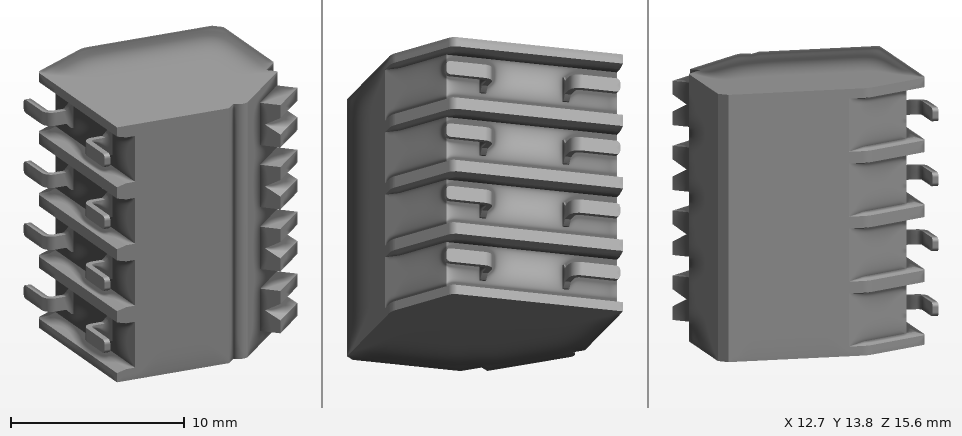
import cadquery as cq
import math

HEIGHT = 15.63
WIDTH = 12.7
BACK_Y = 12.9
POLE_COUNT = 4
POLE_PITCH = 3.8

FLOOR_Y = 1.15
CORE_SLANT_Y = 5.22
SLANT_X = 2.42
BACK_CHAMFER = 0.5
SLOPE_RIGHT_Y = 7.2
SLOPE_TOP_X = WIDTH - (BACK_Y - SLOPE_RIGHT_Y)
SLOPE_TOP_RADIUS = 0.25

STEP_START = 1.38
STEP_LENGTH = 5.91
STEP_RISE = 0.69
STEP_END_RADIUS = 0.6

BUTTON_INSET = 0.11
BUTTON_LENGTH = 3.05
BUTTON_RISE = 1.23
BUTTON_WIDTH = 2.6
GROOVE_WIDTH = 1.02
GROOVE_DEPTH = 0.94

PLATE_THICKNESS = 0.69
PLATE_SLANT_Y = 4.08
PLATE_BACK_Y = 7.03
PLATE_SIDE_RADIUS = 1.1
PLATE_FRONT_RADIUS = 0.5
BEVEL_ACROSS = 0.152
BEVEL_DEPTH = 0.6

LEAD_CENTRE_X = 7.1
LEAD_SHANK_OFFSET = 2.33
LEAD_TIP_OFFSET = 5.25
LEAD_THICKNESS = 0.36
LEAD_BEND_RADIUS = 0.61
LEAD_FRONT_Y = -0.61
LEAD_WIDTH = 0.81
LEAD_ROOT_WIDTH = 1.45
LEAD_NECK_Y = 0.69
LEAD_TIP_RADIUS = 0.25
OVERLAP = 0.15


def slope_plane(z):
    """Plane with local x running down the rear slope and local y pointing out of it."""
    return cq.Plane(origin=(SLOPE_TOP_X, BACK_Y, z), xDir=(1, -1, 0), normal=(0, 0, 1))


def make_core():
    outline = [
        (0, CORE_SLANT_Y),
        (0, BACK_Y - BACK_CHAMFER),
        (BACK_CHAMFER, BACK_Y),
        (SLOPE_TOP_X, BACK_Y),
        (WIDTH, SLOPE_RIGHT_Y),
        (WIDTH, FLOOR_Y),
        (SLANT_X, FLOOR_Y),
    ]
    core = cq.Workplane("XY", origin=(0, 0, -HEIGHT / 2)).polyline(outline).close().extrude(HEIGHT)
    slope_top = cq.selectors.NearestToPointSelector((SLOPE_TOP_X, BACK_Y, 0))
    return core.edges(slope_top).fillet(SLOPE_TOP_RADIUS)


def make_step():
    step = (
        cq.Workplane(slope_plane(-HEIGHT / 2))
        .moveTo(STEP_START, -OVERLAP)
        .lineTo(STEP_START, STEP_RISE)
        .lineTo(STEP_START + STEP_LENGTH - STEP_END_RADIUS, STEP_RISE)
        .radiusArc((STEP_START + STEP_LENGTH, STEP_RISE - STEP_END_RADIUS), STEP_END_RADIUS)
        .lineTo(STEP_START + STEP_LENGTH, -OVERLAP)
        .close()
        .extrude(HEIGHT)
    )
    return step


def make_button(z):
    """Rectangular button with a V groove running along its top."""
    base = STEP_RISE - OVERLAP
    top = STEP_RISE + BUTTON_RISE
    end_plane = cq.Plane(
        origin=slope_plane(z).toWorldCoords((STEP_START + BUTTON_INSET, 0)).toTuple(),
        xDir=(0, 0, 1),
        normal=(1, -1, 0),
    )
    profile = [
        (-BUTTON_WIDTH / 2, base),
        (-BUTTON_WIDTH / 2, top),
        (-GROOVE_WIDTH / 2, top),
        (0, top - GROOVE_DEPTH),
        (GROOVE_WIDTH / 2, top),
        (BUTTON_WIDTH / 2, top),
        (BUTTON_WIDTH / 2, base),
    ]
    inward = [(across, -rise) for across, rise in profile]
    return cq.Workplane(end_plane).polyline(inward).close().extrude(BUTTON_LENGTH)


def make_plate(z):
    """Plate centred on z, bevelled all round; its right and back edges are trimmed or buried later."""
    right_x = WIDTH + BEVEL_DEPTH + OVERLAP
    outline = [(0, PLATE_SLANT_Y), (0, PLATE_BACK_Y), (right_x, PLATE_BACK_Y), (right_x, 0), (SLANT_X, 0)]
    side_corner = cq.selectors.NearestToPointSelector((0, PLATE_SLANT_Y, 0))
    front_corner = cq.selectors.NearestToPointSelector((SLANT_X, 0, 0))

    half_plate = cq.Workplane("XY").polyline(outline).close().extrude(PLATE_THICKNESS / 2)
    half_plate = half_plate.edges("|Z").edges(side_corner).fillet(PLATE_SIDE_RADIUS)
    bevel_angle = math.degrees(math.atan2(BEVEL_DEPTH, BEVEL_ACROSS))
    half_plate = half_plate.faces(">Z").wires().toPending().extrude(BEVEL_ACROSS, taper=bevel_angle)
    plate = half_plate.union(half_plate.mirror("XY"))

    full_thickness = PLATE_THICKNESS + 2 * BEVEL_ACROSS
    rounded = cq.Workplane("XY").polyline(outline).close().extrude(full_thickness / 2, both=True)
    rounded = rounded.edges("|Z").edges(front_corner).fillet(PLATE_FRONT_RADIUS)
    return plate.intersect(rounded).translate((0, 0, z))


def make_lead(z, direction):
    """Lead bent towards direction (+1 or -1 along x), its root sunk into the core."""
    def x_at(offset):
        return LEAD_CENTRE_X + direction * offset

    root_y = FLOOR_Y + OVERLAP
    foot_y = LEAD_FRONT_Y + LEAD_THICKNESS
    inner_radius = LEAD_BEND_RADIUS - LEAD_THICKNESS
    bend_x = LEAD_SHANK_OFFSET + LEAD_BEND_RADIUS
    bend_y = LEAD_FRONT_Y + LEAD_BEND_RADIUS
    diagonal = math.sqrt(0.5)

    def bend_point(radius):
        return x_at(bend_x - radius * diagonal), bend_y - radius * diagonal

    strip = (
        cq.Workplane("XY", origin=(0, 0, z))
        .moveTo(x_at(LEAD_SHANK_OFFSET), root_y)
        .lineTo(x_at(LEAD_SHANK_OFFSET), bend_y)
        .threePointArc(bend_point(LEAD_BEND_RADIUS), (x_at(bend_x), LEAD_FRONT_Y))
        .lineTo(x_at(LEAD_TIP_OFFSET), LEAD_FRONT_Y)
        .lineTo(x_at(LEAD_TIP_OFFSET), foot_y)
        .lineTo(x_at(bend_x), foot_y)
        .threePointArc(bend_point(inner_radius), (x_at(LEAD_SHANK_OFFSET + LEAD_THICKNESS), bend_y))
        .lineTo(x_at(LEAD_SHANK_OFFSET + LEAD_THICKNESS), root_y)
        .close()
        .extrude(LEAD_WIDTH / 2, both=True)
    )
    tip_edges = "|Y and " + (">X" if direction > 0 else "<X")
    strip = strip.edges(tip_edges).fillet(LEAD_TIP_RADIUS)

    half_neck = LEAD_WIDTH / 2
    half_root = LEAD_ROOT_WIDTH / 2
    flare_y = LEAD_NECK_Y + half_root - half_neck
    flare = (
        cq.Workplane("YZ", origin=(x_at(LEAD_SHANK_OFFSET), 0, z))
        .polyline([
            (LEAD_NECK_Y, -half_neck),
            (flare_y, -half_root),
            (root_y, -half_root),
            (root_y, half_root),
            (flare_y, half_root),
            (LEAD_NECK_Y, half_neck),
        ])
        .close()
        .extrude(direction * LEAD_THICKNESS)
    )
    return strip.union(flare)


def make_housing():
    housing = make_core().union(make_step())
    for index in range(POLE_COUNT + 1):
        housing = housing.union(make_plate((index - POLE_COUNT / 2) * POLE_PITCH))
    envelope = (
        cq.Workplane("XY")
        .box(WIDTH, 2 * BACK_Y, HEIGHT)
        .translate((WIDTH / 2, BACK_Y, 0))
    )
    return housing.intersect(envelope)


result = make_housing()
for pole in range(POLE_COUNT):
    pole_z = (pole - (POLE_COUNT - 1) / 2) * POLE_PITCH
    result = result.union(make_button(pole_z))
    for side_direction in (-1, 1):
        result = result.union(make_lead(pole_z, side_direction))